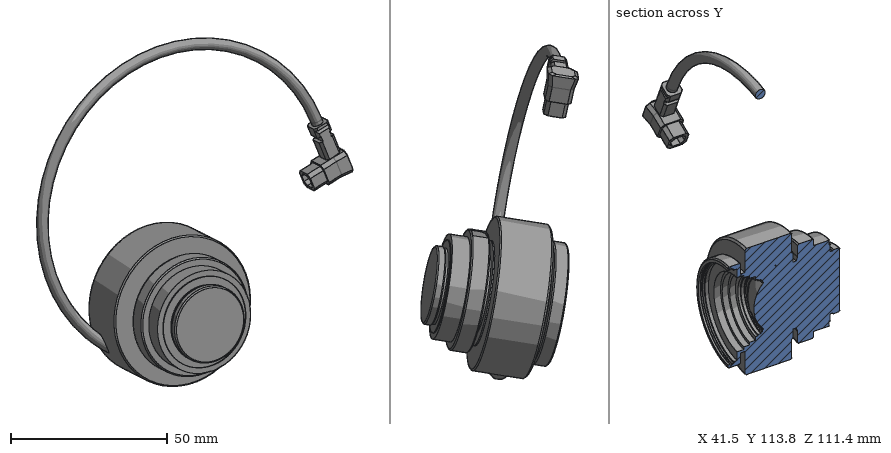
import cadquery as cq
import math

BARREL_RADIUS = 25.0
FLANGE_RADIUS = 20.0
RING_RADIUS = 19.7
STEP_RADIUS = 17.0
THREAD_RADIUS = 12.7
NECK_RADIUS = 15.7
WAIST_RADIUS = 13.3
WAIST_FLARE_RADIUS = 14.7
SHOULDER_RADIUS = 15.1
RELIEF_RADIUS = 12.4

FLANGE_END = 4.8
BARREL_START = 6.3
BARREL_END = 23.8
REAR_LIP_END = 24.2
WAIST_FLARE_START = 25.2
RING_START = 25.8
RING_END = 31.8
STEP_END = 37.6
SHOULDER_END = 38.0
THREAD_START = 38.7
LENS_LENGTH = 41.5

BARREL_CHAMFER = 0.7
EDGE_CHAMFER = 0.5

BORE_STEPS = [
    (18.5, 2.2),
    (18.0, 3.4),
    (14.5, 5.9),
    (13.5, 8.1),
    (12.5, 10.2),
    (11.0, 11.1),
    (10.6, 12.3),
    (10.1, 12.7),
]
GLASS_RADIUS = 18.5 / 2
GLASS_EDGE_DEPTH = 13.2
GLASS_TOP_DEPTH = 9.5
RIM_GROOVE_RADIUS = 18.9
RIM_GROOVE_START = 0.9
RIM_GROOVE_END = 1.6

RECESS_ANGLE = 34.0
RECESS_FLOOR = 18.9
RECESS_WIDTH = 5.0
RECESS_REACH = 4.2
RECESS_RUNOUT = -6.8
RECESS_CUT_HEIGHT = 2.3

CABLE_X = 12.0
CABLE_DIAMETER = 3.8
CABLE_ARC_RADIUS = 52.2
CABLE_CENTER_Y = 7.3
CABLE_CENTER_Z = 32.3
PLUG_END_ANGLE = 23.0
BARREL_END_ANGLE = 241.0

SLEEVE_WIDTH = 5.7
SLEEVE_CHAMFER = 0.9
COLLAR_START = 1.3
COLLAR_END = 4.8
COLLAR_GROOVE_START = 2.3
COLLAR_GROOVE_END = 3.4
COLLAR_GROOVE_DEPTH = 0.7
NOTCH_END = 6.6
NOTCH_DEPTH = 1.1
HEAD_TOP = 13.0
HEAD_BOTTOM = 20.9
HEAD_CHAMFER = 1.3
HEAD_STEP_Y = 5.7
HEAD_MIDDLE_WIDTH = 8.5
HEAD_MIDDLE_INSET = 0.2
HEAD_TIP_WIDTH = 7.2
HEAD_TIP_INSET = 0.8
HEAD_BACK = (-3.9, 7.5, 0.3)
HEAD_WIDEST = (-3.3, 9.9, 0.0)
HEAD_TAPER_END = (0.7, HEAD_MIDDLE_WIDTH, HEAD_MIDDLE_INSET)
HEAD_STEP = (HEAD_STEP_Y, HEAD_MIDDLE_WIDTH, HEAD_MIDDLE_INSET)
HEAD_TIP_START = (HEAD_STEP_Y, HEAD_TIP_WIDTH, HEAD_TIP_INSET)
HEAD_TIP = (10.8, HEAD_TIP_WIDTH, HEAD_TIP_INSET)
SOCKET_WALL = 0.9
SOCKET_DEPTH = 2.3


def cylinder(radius, start, end, chamfer=0.0):
    """Disc about the X axis, optionally chamfered on both rims."""
    disc = cq.Workplane("YZ", origin=(start, 0, 0)).circle(radius).extrude(end - start)
    if chamfer:
        disc = disc.edges().chamfer(chamfer)
    return disc


def waist():
    """Narrow neck that flares out towards the focus ring."""
    profile = [
        (REAR_LIP_END, 0),
        (REAR_LIP_END, WAIST_RADIUS),
        (WAIST_FLARE_START, WAIST_RADIUS),
        (RING_START, WAIST_FLARE_RADIUS),
        (RING_START, 0),
    ]
    return cq.Workplane("XY").polyline(profile).close().revolve(360, (0, 0), (1, 0))


def barrel():
    body = cylinder(FLANGE_RADIUS, 0, FLANGE_END, EDGE_CHAMFER)
    body = body.union(cylinder(NECK_RADIUS, FLANGE_END, BARREL_START))
    main = cylinder(BARREL_RADIUS, BARREL_START, BARREL_END)
    main = main.faces("<X").edges().chamfer(BARREL_CHAMFER)
    main = main.faces(">X").edges().chamfer(EDGE_CHAMFER)
    body = body.union(main)
    body = body.union(cylinder(STEP_RADIUS, BARREL_END, REAR_LIP_END))
    body = body.union(waist())
    body = body.union(focus_ring())
    body = body.union(cylinder(STEP_RADIUS, RING_END, STEP_END))
    body = body.union(cylinder(SHOULDER_RADIUS, STEP_END, SHOULDER_END))
    body = body.union(cylinder(RELIEF_RADIUS, SHOULDER_END, THREAD_START))
    return body.union(cylinder(THREAD_RADIUS, THREAD_START, LENS_LENGTH, EDGE_CHAMFER))


def focus_ring():
    """Ring with a shallow flat recess, rounded at its upper end."""
    ring = cylinder(RING_RADIUS, RING_START, RING_END, EDGE_CHAMFER)
    angle = math.radians(RECESS_ANGLE)
    outward = (0, math.cos(angle), math.sin(angle))
    middle = ((RING_START + RING_END) / 2, RECESS_FLOOR * outward[1], RECESS_FLOOR * outward[2])
    floor = cq.Plane(origin=middle, xDir=(0, -outward[2], outward[1]), normal=outward)
    half = RECESS_WIDTH / 2
    recess = (
        cq.Workplane(floor)
        .moveTo(RECESS_RUNOUT, -half)
        .lineTo(RECESS_REACH - half, -half)
        .threePointArc((RECESS_REACH, 0), (RECESS_REACH - half, half))
        .lineTo(RECESS_RUNOUT, half)
        .close()
        .extrude(RECESS_CUT_HEIGHT)
    )
    return ring.cut(recess)


def front_bore():
    """Stepped bore whose floor is the domed front glass."""
    bore = cylinder(RIM_GROOVE_RADIUS, RIM_GROOVE_START, RIM_GROOVE_END)
    for radius, depth in BORE_STEPS:
        bore = bore.union(cylinder(radius, 0, depth))
    bore = bore.union(cylinder(GLASS_RADIUS, 0, GLASS_EDGE_DEPTH))
    sag = GLASS_EDGE_DEPTH - GLASS_TOP_DEPTH
    glass_curve = (GLASS_RADIUS**2 + sag**2) / (2 * sag)
    ball = cq.Workplane("XY").sphere(glass_curve).translate((GLASS_TOP_DEPTH + glass_curve, 0, 0))
    return bore.cut(ball)


def cable_point(degrees):
    angle = math.radians(degrees)
    return (
        CABLE_CENTER_Y + CABLE_ARC_RADIUS * math.cos(angle),
        CABLE_CENTER_Z + CABLE_ARC_RADIUS * math.sin(angle),
    )


def cable():
    path = (
        cq.Workplane("YZ", origin=(CABLE_X, 0, 0))
        .moveTo(*cable_point(PLUG_END_ANGLE))
        .threePointArc(
            cable_point((PLUG_END_ANGLE + BARREL_END_ANGLE) / 2),
            cable_point(BARREL_END_ANGLE),
        )
    )
    return cq.Workplane(plug_plane()).circle(CABLE_DIAMETER / 2).sweep(path)


def plug_plane():
    """Plane at the cable end: local X across the plug, local Y along the head, normal along the cable."""
    angle = math.radians(PLUG_END_ANGLE)
    return cq.Plane(
        origin=(CABLE_X, *cable_point(PLUG_END_ANGLE)),
        xDir=(1, 0, 0),
        normal=(0, math.sin(angle), -math.cos(angle)),
    )


def plug_block(width, start_y, end_y, top, bottom):
    """Block in the plug frame, centred across the plug."""
    return cq.Workplane("XY").box(width, end_y - start_y, bottom - top).translate(
        (0, (start_y + end_y) / 2, (top + bottom) / 2)
    )


def square_bar(width, start, end, chamfer):
    return plug_block(width, -width / 2, width / 2, start, end).edges("|Z").chamfer(chamfer)


def collar_groove(side):
    """Groove across one flat of the collar: a square shoulder and a sloping flank."""
    surface = side * SLEEVE_WIDTH / 2
    profile = [
        (surface, COLLAR_GROOVE_START),
        (surface - side * COLLAR_GROOVE_DEPTH, COLLAR_GROOVE_START),
        (surface, COLLAR_GROOVE_END),
    ]
    return cq.Workplane("XZ").polyline(profile).close().extrude(SLEEVE_WIDTH / 2, both=True)


def plug_sleeve():
    """Collar and sleeve joined by a neck notched on two opposite sides."""
    stem = cq.Workplane("XY").circle(CABLE_DIAMETER / 2).extrude(COLLAR_START)
    collar = square_bar(SLEEVE_WIDTH, COLLAR_START, COLLAR_END, SLEEVE_CHAMFER)
    for side in (-1, 1):
        collar = collar.cut(collar_groove(side))
    neck_half = SLEEVE_WIDTH / 2 - NOTCH_DEPTH
    neck = plug_block(SLEEVE_WIDTH, -neck_half, neck_half, COLLAR_END, NOTCH_END)
    sleeve = square_bar(SLEEVE_WIDTH, NOTCH_END, HEAD_TOP + HEAD_CHAMFER, SLEEVE_CHAMFER)
    return stem.union(collar).union(neck).union(sleeve)


def head_outline(station, wall=0.0):
    """Rectangle with cut corners across the head at a station, shrunk by a wall thickness."""
    position, width, inset = station
    half = width / 2 - wall
    top = HEAD_TOP + inset + wall
    bottom = HEAD_BOTTOM - inset - wall
    corners = [
        (half - HEAD_CHAMFER, top),
        (half, top + HEAD_CHAMFER),
        (half, bottom - HEAD_CHAMFER),
        (half - HEAD_CHAMFER, bottom),
        (HEAD_CHAMFER - half, bottom),
        (-half, bottom - HEAD_CHAMFER),
        (-half, top + HEAD_CHAMFER),
        (HEAD_CHAMFER - half, top),
    ]
    return cq.Wire.makePolygon([cq.Vector(x, position, z) for x, z in corners], close=True)


def head_section(start, end):
    """Straight-sided length of the head between two stations."""
    outlines = [head_outline(start), head_outline(end)]
    return cq.Workplane(cq.Solid.makeLoft(outlines, True))


def plug_head():
    """Right-angle head that tapers and steps down to its open socket end."""
    head = head_section(HEAD_BACK, HEAD_WIDEST)
    head = head.union(head_section(HEAD_WIDEST, HEAD_TAPER_END))
    head = head.union(head_section(HEAD_TAPER_END, HEAD_STEP))
    head = head.union(head_section(HEAD_TIP_START, HEAD_TIP))
    mouth = head_outline(HEAD_TIP, SOCKET_WALL)
    socket = cq.Solid.extrudeLinear(mouth, [], cq.Vector(0, -SOCKET_DEPTH, 0))
    return head.cut(cq.Workplane(socket))


def plug():
    local = plug_sleeve().union(plug_head())
    return cq.Workplane(local.val().moved(cq.Location(plug_plane())))


lens = barrel().cut(front_bore())
result = lens.union(cable()).union(plug())